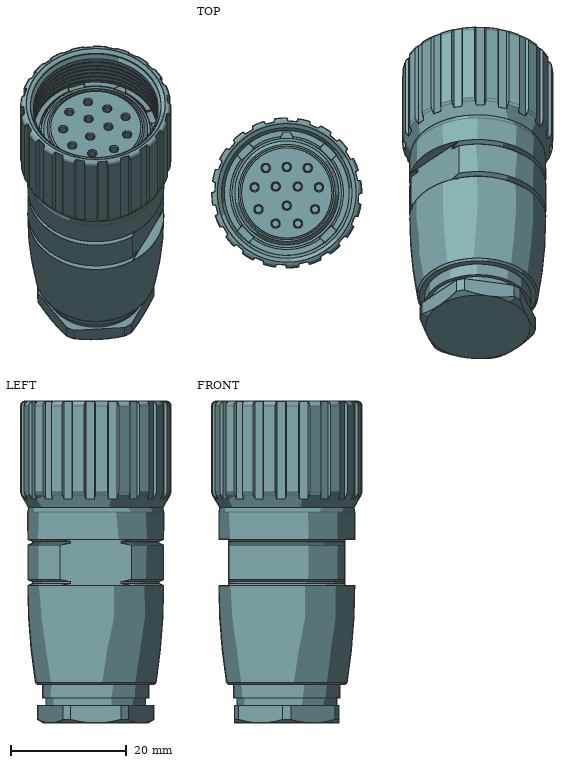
import cadquery as cq
import math

total_height = 55.7
nut_height = 3.05
seal_ring_bottom = 4.35
sleeve_bottom = 6.65
sleeve_top = 23.75
wrench_bottom = 24.8
wrench_top = 30.75
collar_bottom = 31.75
cap_bottom = 37.25

cap_radius = 13.0
cap_rim_rounding = 0.9
cap_bevel = 0.15
cap_bevel_height = 0.55
cap_cone_top = 39.4
grip_count = 20
grip_pitch = 360 / grip_count
grip_first_angle = -4.5
grip_floor_width = 1.5
grip_mouth_width = 2.0
grip_floor_radius = 12.45

body_radius = 11.78
collar_bevel = 0.17
collar_bevel_height = 0.8
neck_radius = 10.95
neck_floor_width = 0.3
flat_half_width = 10.05
sleeve_end_radius = 10.45
sleeve_end_bevel = 0.35

seal_ring_radius = 9.2
gland_radius = 8.65
nut_width = 18.1
nut_corner_radius = 10.06
nut_bevel_height = 0.6

mouth_floor = total_height - 8.0
mouth_edge_radius = 12.0
mouth_bevel_depth = 0.4
mouth_recess_radius = 11.3
mouth_recess_depth = 0.6
lead_in_depth = 1.3
thread_minor_radius = 10.8
thread_major_radius = 11.05
thread_pitch = 1.03
thread_groove_count = 6
thread_groove_width = 0.25
first_groove_depth = 2.3

insert_top = total_height - 6.7
insert_face_radius = 7.8
insert_slope_outer = 9.0
insert_slope_inner = 8.4
insert_bevel_radius = 8.1
insert_face_bevel = 0.15
insert_step_radius = 9.45
insert_base_radius = 9.8
insert_step_height = 0.5
insert_base_height = 0.2

key_outer_radius = 10.5
key_tip_width = 1.2
key_root_width = 2.4
key_height = 0.35

pocket_width = 2.9
pocket_inner_radius = 9.45
pocket_depth = 0.4

contact_radius = 0.6
contact_mouth_radius = 0.8
contact_depth = 4.0
outer_contact_circle = 5.65
outer_contact_angles = [10, 50, 130, 170, 210, 250, 290, 330]
inner_contact_circle = 2.2
inner_contact_angles = [30, 150, 270]
top_contact_radius = 4.5


def polar(radius, angle):
    a = math.radians(angle)
    return (radius * math.cos(a), radius * math.sin(a))


def add_neck(outline, bottom, top):
    """Continue the outline through a bevelled groove and back to the body radius."""
    middle = (bottom + top) / 2
    return (outline.lineTo(neck_radius, middle - neck_floor_width / 2)
            .lineTo(neck_radius, middle + neck_floor_width / 2)
            .lineTo(body_radius, top))


def make_body():
    """Revolve the outside of the connector, without the nut."""
    rim_start = total_height - cap_rim_rounding
    arc_offset = cap_rim_rounding * (1 - math.sqrt(0.5))
    sleeve_end = sleeve_bottom + sleeve_end_bevel

    outline = (cq.Workplane("XZ").moveTo(0, nut_height)
               .lineTo(gland_radius, nut_height)
               .lineTo(gland_radius, seal_ring_bottom)
               .lineTo(seal_ring_radius, seal_ring_bottom)
               .lineTo(seal_ring_radius, sleeve_bottom)
               .lineTo(sleeve_end_radius - sleeve_end_bevel, sleeve_bottom)
               .lineTo(sleeve_end_radius, sleeve_end))
    rise = sleeve_top - sleeve_end
    swell = body_radius - sleeve_end_radius
    bulge_radius = (rise ** 2 + swell ** 2) / (2 * swell)
    mid_drop = bulge_radius - math.sqrt(bulge_radius ** 2 - (rise / 2) ** 2)
    outline = outline.threePointArc((body_radius - mid_drop, sleeve_end + rise / 2),
                                    (body_radius, sleeve_top))
    outline = add_neck(outline, sleeve_top, wrench_bottom)
    outline = outline.lineTo(body_radius, wrench_top)
    outline = add_neck(outline, wrench_top, collar_bottom)
    outline = (outline
               .lineTo(body_radius, cap_bottom - collar_bevel_height)
               .lineTo(body_radius - collar_bevel, cap_bottom)
               .lineTo(cap_radius - cap_bevel, cap_cone_top)
               .lineTo(cap_radius, cap_cone_top + cap_bevel_height)
               .lineTo(cap_radius, rim_start)
               .threePointArc((cap_radius - arc_offset, total_height - arc_offset),
                              (cap_radius - cap_rim_rounding, total_height))
               .lineTo(0, total_height).close())
    return outline.revolve(360, (0, 0, 0), (0, 1, 0))


def cut_wrench_flats(body):
    height = collar_bottom - sleeve_top
    for side in (-1, 1):
        slab = (cq.Workplane("XY", origin=(0, 0, sleeve_top))
                .center(side * (flat_half_width + cap_radius / 2), 0)
                .rect(cap_radius, 2 * cap_radius).extrude(height))
        body = body.cut(slab)
    return body


def cut_grip_grooves(body):
    depth = cap_radius - grip_floor_radius
    flare = grip_mouth_width - grip_floor_width
    outer_radius = cap_radius + depth
    outer_half_width = (grip_mouth_width + flare) / 2
    bar = (cq.Workplane("XY", origin=(0, 0, cap_bottom))
           .polyline([(grip_floor_radius, -grip_floor_width / 2),
                      (outer_radius, -outer_half_width),
                      (outer_radius, outer_half_width),
                      (grip_floor_radius, grip_floor_width / 2)]).close()
           .extrude(total_height - cap_bottom))
    for i in range(grip_count):
        body = body.cut(bar.rotate((0, 0, 0), (0, 0, 1), grip_first_angle + i * grip_pitch))
    return body


def make_mouth():
    """Volume to remove: the mouth with its ring-shaped thread grooves."""
    outline = (cq.Workplane("XZ").moveTo(0, total_height)
               .lineTo(mouth_edge_radius, total_height)
               .lineTo(mouth_recess_radius, total_height - mouth_bevel_depth)
               .lineTo(mouth_recess_radius, total_height - mouth_recess_depth)
               .lineTo(thread_minor_radius, total_height - lead_in_depth))
    for i in range(thread_groove_count):
        z = total_height - first_groove_depth - i * thread_pitch
        outline = (outline
                   .lineTo(thread_minor_radius, z + thread_groove_width / 2)
                   .lineTo(thread_major_radius, z)
                   .lineTo(thread_minor_radius, z - thread_groove_width / 2))
    outline = (outline.lineTo(thread_minor_radius, mouth_floor)
               .lineTo(0, mouth_floor).close())
    return outline.revolve(360, (0, 0, 0), (0, 1, 0))


def make_insert():
    step_top = mouth_floor + insert_step_height
    slope_top = insert_top - insert_face_bevel
    insert = (cq.Workplane("XZ").moveTo(0, mouth_floor)
              .lineTo(insert_base_radius, mouth_floor)
              .lineTo(insert_base_radius, mouth_floor + insert_base_height)
              .lineTo(insert_step_radius, mouth_floor + insert_base_height)
              .lineTo(insert_step_radius, step_top)
              .lineTo(insert_slope_outer, step_top)
              .lineTo(insert_slope_inner, slope_top)
              .lineTo(insert_bevel_radius, slope_top)
              .lineTo(insert_face_radius, insert_top)
              .lineTo(0, insert_top).close()
              .revolve(360, (0, 0, 0), (0, 1, 0)))
    key = (cq.Workplane("XY", origin=(0, 0, mouth_floor))
           .polyline([(-key_root_width / 2, insert_step_radius),
                      (key_root_width / 2, insert_step_radius),
                      (key_tip_width / 2, key_outer_radius),
                      (-key_tip_width / 2, key_outer_radius)]).close()
           .extrude(key_height))
    return insert.union(key)


def cut_pockets(body):
    """Four pockets in the ring floor and insert edge, on the diagonals."""
    length = thread_minor_radius - pocket_inner_radius
    pocket = (cq.Workplane("XY", origin=(0, 0, mouth_floor - pocket_depth))
              .center(pocket_inner_radius + length / 2, 0)
              .rect(length, pocket_width)
              .extrude(pocket_depth + insert_base_height))
    for i in range(4):
        body = body.cut(pocket.rotate((0, 0, 0), (0, 0, 1), 45 + 90 * i))
    return body


def cut_contacts(body):
    points = [polar(outer_contact_circle, a) for a in outer_contact_angles]
    points += [polar(inner_contact_circle, a) for a in inner_contact_angles]
    points.append((0, top_contact_radius))
    countersink = contact_mouth_radius - contact_radius
    hole = (cq.Workplane("XZ").moveTo(0, insert_top)
            .lineTo(contact_mouth_radius, insert_top)
            .lineTo(contact_radius, insert_top - countersink)
            .lineTo(contact_radius, insert_top - contact_depth)
            .lineTo(0, insert_top - contact_depth).close()
            .revolve(360, (0, 0, 0), (0, 1, 0)))
    for x, y in points:
        body = body.cut(hole.translate((x, y, 0)))
    return body


def make_nut():
    hexagon = (cq.Workplane("XY")
               .polygon(6, nut_width / math.cos(math.pi / 6))
               .extrude(nut_height)
               .rotate((0, 0, 0), (0, 0, 1), 30))
    turned = (cq.Workplane("XZ").lineTo(nut_width / 2, 0)
              .lineTo(nut_corner_radius, nut_bevel_height)
              .lineTo(nut_corner_radius, nut_height)
              .lineTo(0, nut_height).close()
              .revolve(360, (0, 0, 0), (0, 1, 0)))
    return hexagon.intersect(turned)


body = make_body().union(make_nut())
body = cut_wrench_flats(body)
body = cut_grip_grooves(body)
body = body.cut(make_mouth()).union(make_insert())
body = cut_pockets(body)
result = cut_contacts(body)